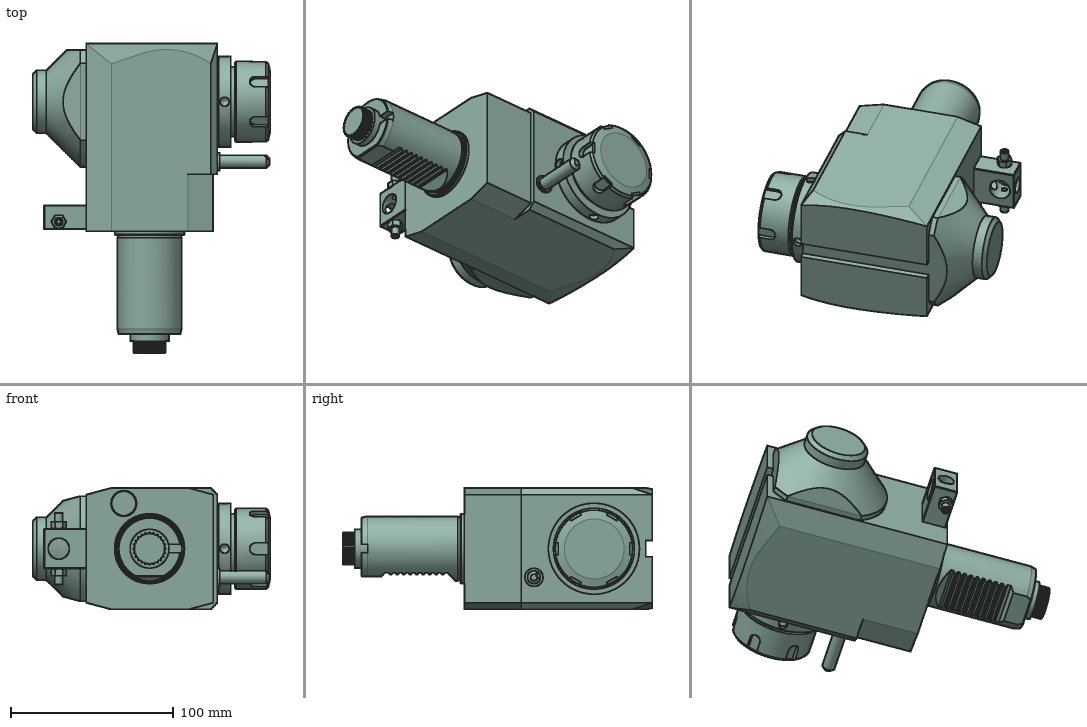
import cadquery as cq
import math


HOUSING_LEFT = -39.2
HOUSING_RIGHT = 41.9
HOUSING_LENGTH = 116.0
HALF_HEIGHT = 37.5
SIDE_HALF_HEIGHT = 33.35
CHAMFER_RISE = HALF_HEIGHT - SIDE_HALF_HEIGHT
CHAMFER_SLOPE = 15.0
CHAMFER_RUN = CHAMFER_RISE / math.tan(math.radians(CHAMFER_SLOPE))
TOP_LEFT = HOUSING_LEFT + CHAMFER_RUN
TOP_RIGHT = HOUSING_RIGHT - CHAMFER_RISE
TOP_CORNER_Y = 103.5
TOP_CROWN = (11.0, 112.4)
TOP_START_TANGENT = (1.0, 0.36)
TOP_END_TANGENT = (1.0, -0.74)
SIDE_CROWN = (12.5, 131.0)
FRONT_STEP_LENGTH = 35.2
FRONT_RIGHT = -HOUSING_LEFT
BACK_SLOT_WIDTH = 9.8
BACK_SLOT_DEPTH = 4.0
PLUG_RADIUS = 7.9
PLUG_X, PLUG_Z = -15.9, 27.9
PLUG_RECESS = 0.4
PLUG_RECESS_TAPER = 45.0

SPINDLE_Y = 80.0

COVER_RADIUS = 40.3
COVER_RIM_X = -42.6
COVER_HALF_HEIGHT = 32.5
COVER_FLAT_SLOPE = 15.0
BOSS_RADIUS = 19.5
BOSS_START_X = -63.6
BOSS_END_X = -72.1
BOSS_CHAMFER = 2.5

FLANGE_RADIUS = 28.1
FLANGE_RELIEF_RADIUS = 27.0
FLANGE_START_X = 42.8
FLANGE_END_X = 50.1
NECK_RADIUS = 21.6
NUT_RADIUS = 25.0
NUT_START_X = 52.65
NUT_CHAMFER = 0.9
NUT_SHOULDER_X = 71.7
NUT_CORNER = (73.2, 23.8)
NUT_END_X = 74.5
NUT_END_RADIUS = 18.5
NUT_SLOTS = 6
NUT_SLOT_WIDTH = 7.2
NUT_SLOT_DEPTH = 3.0
NUT_SLOT_START_X = 61.8
SPANNER_HOLES = 4
SPANNER_HOLE_X = 46.3
SPANNER_HOLE_RADIUS = 2.8
SPANNER_HOLE_DEPTH = 3.0
SPANNER_HOLE_TIP_SLOPE = 30.0

PIN_Y, PIN_Z = 43.0, -17.7
PIN_RADIUS = 4.0
PIN_END_X = 74.0
PIN_CHAMFER = 2.0
PIN_SEAT_RADIUS = 5.6
PIN_SEAT_END_X = 43.2
NOZZLE_RADIUS = 1.7
NOZZLE_DEPTH = 3.0

COLLAR_RADIUS = 21.6
COLLAR_LENGTH = 2.4
COLLAR_CHAMFER = 0.6
GROOVE_RADIUS = 19.6
GROOVE_END = 4.0
SHANK_RADIUS = 20.0
SHANK_TAPER_START = 59.9
SHANK_LENGTH = 63.5
SHANK_END_RADIUS = 19.3
SHANK_EDGE = 0.4
SHAFT_RADIUS = 12.0
SHAFT_END = 67.7
SPLINE_RADIUS = 10.0
SPLINE_ROOT_RADIUS = 9.2
SPLINE_TEETH = 24
SPLINE_TIP_SHARE = 0.24
SPLINE_BASE_SHARE = 0.60
SPLINE_END = 75.0
SPLINE_CHAMFER = 0.5
DRIVE_SLOT_WIDTH = 5.3
DRIVE_SLOT_DEPTH = 4.0

RACK_FIRST_TIP = 13.3
RACK_PITCH = 4.0
RACK_TIPS = 9
RACK_TIP_Z = -16.1
RACK_ROOT_Z = -14.9
RACK_TIP_WIDTH = 0.5
RACK_RAMP_START = 5.3
RACK_END = 51.3
END_FLAT_Z = -17.2
END_FLAT_CHAMFER = 0.6

BLOCK_LEFT = -65.2
BLOCK_FRONT, BLOCK_BACK = 1.2, 16.1
BLOCK_HALF_HEIGHT = 12.3
BLOCK_CHAMFER = 0.4
PORT_X = -56.0
PORT_RADIUS = 6.5
INLET_Y = 8.5
INLET_RADIUS = 4.9
INLET_END_X = -46.0
SOCKET_WIDTH = 2.5
SOCKET_DEPTH = 2.0
STUD_Y = 6.0
STUD_RADIUS = 2.5
STUD_TOP = 22.3
STUD_CHAMFER = 0.4
STUD_BORE_RADIUS = 1.7
STUD_BORE_HALF_LENGTH = 9.0
LOCKNUT_TOP = 16.6
LOCKNUT_WIDTH = 8.0

HEXAGON_HALF_ANGLE = math.radians(30)


def revolve_about_x(profile, y, z=0.0):
    """Revolve (x, radius) points about an X-parallel axis through (y, z)."""
    outline = cq.Workplane("XY").polyline(profile).close()
    return outline.revolve(360, (0, 0, 0), (1, 0, 0)).translate((0, y, z))


def revolve_about_y(profile):
    """Revolve (radius, depth) points about the Y axis; depth is measured toward -Y."""
    points = [(radius, -depth) for radius, depth in profile]
    return cq.Workplane("XY").polyline(points).close().revolve(360, (0, 0, 0), (0, 1, 0))


def box(x_range, y_range, z_range):
    """Box between pairs of limits on the three axes."""
    limits = (x_range, y_range, z_range)
    size = [high - low for low, high in limits]
    return cq.Workplane("XY").box(*size, centered=False).translate([low for low, high in limits])


def hexagon(across_flats):
    """Hexagon outline in the XY plane with two corners on the X axis."""
    return cq.Workplane("XY").polygon(6, across_flats / math.cos(HEXAGON_HALF_ANGLE))


def housing_cap():
    """Upper part of the housing: chamfered sides and a curved, tapering back."""
    side = (
        cq.Workplane("XY", origin=(0, 0, SIDE_HALF_HEIGHT))
        .moveTo(HOUSING_LEFT, 0)
        .lineTo(HOUSING_LEFT, HOUSING_LENGTH)
        .threePointArc(SIDE_CROWN, (HOUSING_RIGHT, HOUSING_LENGTH))
        .lineTo(HOUSING_RIGHT, 0)
        .close()
    )
    top = (
        cq.Workplane("XY", origin=(0, 0, HALF_HEIGHT))
        .moveTo(TOP_LEFT, 0)
        .lineTo(TOP_LEFT, TOP_CORNER_Y)
        .spline(
            [TOP_CROWN, (TOP_RIGHT, TOP_CORNER_Y)],
            tangents=[TOP_START_TANGENT, TOP_END_TANGENT],
            includeCurrent=True,
        )
        .lineTo(TOP_RIGHT, 0)
        .close()
    )
    cap = cq.Workplane(cq.Solid.makeLoft([side.val(), top.val()], True))
    within = box((HOUSING_LEFT, HOUSING_RIGHT), (0, HOUSING_LENGTH), (0, HALF_HEIGHT))
    return cap.intersect(within)


def front_step_cut():
    """Material removed so the front right edges mirror the chamfers on the left."""
    slope_start = FRONT_RIGHT - CHAMFER_RUN
    profile = [
        (slope_start, HALF_HEIGHT),
        (FRONT_RIGHT, SIDE_HALF_HEIGHT),
        (FRONT_RIGHT, -SIDE_HALF_HEIGHT),
        (slope_start, -HALF_HEIGHT),
        (HOUSING_RIGHT, -HALF_HEIGHT),
        (HOUSING_RIGHT, HALF_HEIGHT),
    ]
    return cq.Workplane("XZ").polyline(profile).close().extrude(-FRONT_STEP_LENGTH)


def housing():
    """Housing block with its front step, back slot and shallow plug recess."""
    body = box(
        (HOUSING_LEFT, HOUSING_RIGHT), (0, HOUSING_LENGTH), (-SIDE_HALF_HEIGHT, SIDE_HALF_HEIGHT)
    )
    cap = housing_cap()
    body = body.union(cap).union(cap.mirror("XY"))
    back_slot = box(
        (HOUSING_LEFT, HOUSING_RIGHT),
        (HOUSING_LENGTH - BACK_SLOT_DEPTH, HOUSING_LENGTH),
        (-BACK_SLOT_WIDTH / 2, BACK_SLOT_WIDTH / 2),
    )
    plug_recess = (
        cq.Workplane("XZ")
        .center(PLUG_X, PLUG_Z)
        .circle(PLUG_RADIUS)
        .extrude(-PLUG_RECESS, taper=PLUG_RECESS_TAPER)
    )
    return body.cut(front_step_cut()).cut(back_slot).cut(plug_recess)


def rear_cover():
    """Conical cover with a flat back and sloping flats above and below."""
    cover = revolve_about_x(
        [
            (HOUSING_LEFT, 0),
            (HOUSING_LEFT, COVER_RADIUS),
            (COVER_RIM_X, COVER_RADIUS),
            (BOSS_START_X, BOSS_RADIUS),
            (BOSS_END_X + BOSS_CHAMFER, BOSS_RADIUS),
            (BOSS_END_X, BOSS_RADIUS - BOSS_CHAMFER),
            (BOSS_END_X, 0),
        ],
        SPINDLE_Y,
    )
    slope_drop = (COVER_RIM_X - BOSS_END_X) * math.tan(math.radians(COVER_FLAT_SLOPE))
    end_half_height = COVER_HALF_HEIGHT - slope_drop
    envelope = (
        cq.Workplane("XZ", origin=(0, HOUSING_LENGTH - BACK_SLOT_DEPTH, 0))
        .moveTo(HOUSING_LEFT, COVER_HALF_HEIGHT)
        .lineTo(COVER_RIM_X, COVER_HALF_HEIGHT)
        .lineTo(BOSS_END_X, end_half_height)
        .lineTo(BOSS_END_X, -end_half_height)
        .lineTo(COVER_RIM_X, -COVER_HALF_HEIGHT)
        .lineTo(HOUSING_LEFT, -COVER_HALF_HEIGHT)
        .close()
        .extrude(HOUSING_LENGTH)
    )
    return cover.intersect(envelope)


def about_spindle(shape, index, count):
    """Turn a shape to one of several equal divisions around the spindle axis."""
    return shape.rotate((0, SPINDLE_Y, 0), (1, SPINDLE_Y, 0), index * 360 / count)


def spanner_hole():
    """Radial hole with a conical bottom, in the front of the collet flange."""
    tip = SPANNER_HOLE_RADIUS * math.tan(math.radians(SPANNER_HOLE_TIP_SLOPE))
    profile = [
        (0, 0),
        (SPANNER_HOLE_RADIUS, 0),
        (SPANNER_HOLE_RADIUS, SPANNER_HOLE_DEPTH),
        (0, SPANNER_HOLE_DEPTH + tip),
    ]
    hole = cq.Workplane("XY").polyline(profile).close().revolve(360, (0, 0, 0), (0, 1, 0))
    return hole.translate((SPANNER_HOLE_X, SPINDLE_Y - FLANGE_RADIUS, 0))


def nut_slot():
    """Round-ended spanner slot, open at the free end of the nut, on its front side."""
    centre_x = NUT_SLOT_START_X + NUT_SLOT_WIDTH / 2
    floor_y = SPINDLE_Y - NUT_RADIUS + NUT_SLOT_DEPTH
    plane = cq.Workplane("XZ", origin=(0, floor_y, 0))
    round_end = plane.center(centre_x, 0).circle(NUT_SLOT_WIDTH / 2).extrude(NUT_RADIUS)
    straight = box(
        (centre_x, NUT_CORNER[0]),
        (floor_y - NUT_RADIUS, floor_y),
        (-NUT_SLOT_WIDTH / 2, NUT_SLOT_WIDTH / 2),
    )
    return round_end.union(straight)


def collet_nut():
    """Flange, neck and slotted clamping nut."""
    nut = revolve_about_x(
        [
            (HOUSING_RIGHT, 0),
            (HOUSING_RIGHT, FLANGE_RELIEF_RADIUS),
            (FLANGE_START_X, FLANGE_RELIEF_RADIUS),
            (FLANGE_START_X, FLANGE_RADIUS),
            (FLANGE_END_X, FLANGE_RADIUS),
            (FLANGE_END_X, NECK_RADIUS),
            (NUT_START_X, NECK_RADIUS),
            (NUT_START_X, NUT_RADIUS - NUT_CHAMFER),
            (NUT_START_X + NUT_CHAMFER, NUT_RADIUS),
            (NUT_SHOULDER_X, NUT_RADIUS),
            NUT_CORNER,
            (NUT_END_X, NUT_END_RADIUS),
            (NUT_END_X, 0),
        ],
        SPINDLE_Y,
    )
    for index in range(NUT_SLOTS):
        nut = nut.cut(about_spindle(nut_slot(), index, NUT_SLOTS))
    for index in range(SPANNER_HOLES):
        nut = nut.cut(about_spindle(spanner_hole(), index, SPANNER_HOLES))
    return nut


def guide_pin():
    """Pin with a coolant nozzle drilled through its chamfered tip, aimed toward the nut."""
    profile = [
        (HOUSING_RIGHT, 0),
        (HOUSING_RIGHT, PIN_SEAT_RADIUS),
        (PIN_SEAT_END_X, PIN_SEAT_RADIUS),
        (PIN_SEAT_END_X, PIN_RADIUS),
        (PIN_END_X - PIN_CHAMFER, PIN_RADIUS),
        (PIN_END_X, PIN_RADIUS - PIN_CHAMFER),
        (PIN_END_X, 0),
    ]
    pin = revolve_about_x(profile, PIN_Y, PIN_Z)
    toward_spindle = cq.Vector(0, SPINDLE_Y - PIN_Y, -PIN_Z).normalized()
    pin_axis = cq.Vector(1, 0, 0)
    middle_of_chamfer = (
        cq.Vector(PIN_END_X - PIN_CHAMFER / 2, PIN_Y, PIN_Z)
        + toward_spindle * (PIN_RADIUS - PIN_CHAMFER / 2)
    )
    outward = (pin_axis + toward_spindle).normalized()
    nozzle = cq.Solid.makeCylinder(
        NOZZLE_RADIUS,
        NOZZLE_DEPTH + PIN_CHAMFER,
        middle_of_chamfer - outward * NOZZLE_DEPTH,
        outward,
    )
    return pin.cut(cq.Workplane(nozzle))


def rack_cut():
    """Material removed under the shank, leaving trapezoidal rack teeth."""
    tooth_height = RACK_ROOT_Z - RACK_TIP_Z
    tip_half = RACK_TIP_WIDTH / 2
    base_half = tip_half + tooth_height
    below = -COLLAR_RADIUS
    ramp_start = RACK_RAMP_START + SHANK_RADIUS + below
    ramp_end = RACK_RAMP_START + SHANK_RADIUS + RACK_ROOT_Z
    points = [
        (-ramp_start, below),
        (-ramp_end, RACK_ROOT_Z),
    ]
    for index in range(RACK_TIPS):
        tip = RACK_FIRST_TIP + index * RACK_PITCH
        points += [
            (-(tip - base_half), RACK_ROOT_Z),
            (-(tip - tip_half), RACK_TIP_Z),
            (-(tip + tip_half), RACK_TIP_Z),
            (-(tip + base_half), RACK_ROOT_Z),
        ]
    points += [
        (-(RACK_END - (RACK_ROOT_Z - END_FLAT_Z)), RACK_ROOT_Z),
        (-RACK_END, END_FLAT_Z),
        (-(SHANK_LENGTH - END_FLAT_CHAMFER), END_FLAT_Z),
        (-SHANK_LENGTH, END_FLAT_Z + END_FLAT_CHAMFER),
        (-SHANK_LENGTH, below),
    ]
    return cq.Workplane("YZ").polyline(points).close().extrude(SHANK_RADIUS, both=True)


def spline():
    """Toothed drive end with a chamfered tip."""
    step = 2 * math.pi / SPLINE_TEETH
    tooth_profile = [
        (-SPLINE_BASE_SHARE / 2, SPLINE_ROOT_RADIUS),
        (-SPLINE_TIP_SHARE / 2, SPLINE_RADIUS),
        (SPLINE_TIP_SHARE / 2, SPLINE_RADIUS),
        (SPLINE_BASE_SHARE / 2, SPLINE_ROOT_RADIUS),
    ]
    outline = [
        (radius * math.cos((tooth + part) * step), radius * math.sin((tooth + part) * step))
        for tooth in range(SPLINE_TEETH)
        for part, radius in tooth_profile
    ]
    teeth = (
        cq.Workplane("XZ", origin=(0, -SHAFT_END, 0))
        .polyline(outline)
        .close()
        .extrude(SPLINE_END - SHAFT_END)
    )
    envelope = revolve_about_y(
        [
            (0, SHAFT_END),
            (SPLINE_RADIUS, SHAFT_END),
            (SPLINE_RADIUS, SPLINE_END - SPLINE_CHAMFER),
            (SPLINE_RADIUS - SPLINE_CHAMFER, SPLINE_END),
            (0, SPLINE_END),
        ]
    )
    return teeth.intersect(envelope)


def shank():
    """Shank with its collar, clamping rack, drive slot and splined shaft end."""
    collar = cq.Workplane("XZ").circle(COLLAR_RADIUS).extrude(COLLAR_LENGTH)
    collar = collar.faces("<Y").edges().chamfer(COLLAR_CHAMFER)
    barrel = revolve_about_y(
        [
            (0, 0),
            (GROOVE_RADIUS, 0),
            (GROOVE_RADIUS, GROOVE_END),
            (SHANK_RADIUS, GROOVE_END),
            (SHANK_RADIUS, SHANK_TAPER_START),
            (SHANK_END_RADIUS, SHANK_LENGTH - SHANK_EDGE),
            (SHANK_END_RADIUS - SHANK_EDGE, SHANK_LENGTH),
            (0, SHANK_LENGTH),
        ]
    )
    drive_slot = box(
        (0, SHANK_RADIUS),
        (-SHANK_LENGTH, DRIVE_SLOT_DEPTH - SHANK_LENGTH),
        (-DRIVE_SLOT_WIDTH / 2, DRIVE_SLOT_WIDTH / 2),
    )
    shaft_start = SHANK_LENGTH - DRIVE_SLOT_DEPTH
    shaft = revolve_about_y(
        [(0, shaft_start), (SHAFT_RADIUS, shaft_start), (SHAFT_RADIUS, SHAFT_END), (0, SHAFT_END)]
    )
    barrel = barrel.cut(rack_cut()).cut(drive_slot)
    return barrel.union(collar).union(shaft).union(spline())


def stud_and_locknut():
    """Stud with a hexagon socket and its hexagonal locknut, above the coolant block."""
    height = LOCKNUT_TOP - BLOCK_HALF_HEIGHT
    locknut = hexagon(LOCKNUT_WIDTH).extrude(height)
    corner_radius = LOCKNUT_WIDTH / 2 / math.cos(HEXAGON_HALF_ANGLE)
    corner_trim = corner_radius - LOCKNUT_WIDTH / 2
    trimmed = cq.Workplane("XY").circle(corner_radius).extrude(height)
    trimmed = trimmed.faces("<Z").edges().chamfer(corner_trim)
    stud = cq.Workplane("XY").circle(STUD_RADIUS).extrude(STUD_TOP - BLOCK_HALF_HEIGHT)
    stud = stud.faces(">Z").edges().chamfer(STUD_CHAMFER)
    socket_floor = STUD_TOP - BLOCK_HALF_HEIGHT - SOCKET_DEPTH
    socket = hexagon(SOCKET_WIDTH).extrude(SOCKET_DEPTH).translate((0, 0, socket_floor))
    assembly = locknut.intersect(trimmed).union(stud).cut(socket)
    return assembly.translate((PORT_X, STUD_Y, BLOCK_HALF_HEIGHT))


def coolant_block():
    """Block with a through port along Y and a plugged inlet along X."""
    block = box(
        (BLOCK_LEFT, HOUSING_LEFT),
        (BLOCK_FRONT, BLOCK_BACK),
        (-BLOCK_HALF_HEIGHT, BLOCK_HALF_HEIGHT),
    )
    block = block.edges("not >X").chamfer(BLOCK_CHAMFER)
    port = cq.Workplane("XZ").center(PORT_X, 0).circle(PORT_RADIUS).extrude(-BLOCK_BACK)
    inlet = (
        cq.Workplane("YZ", origin=(BLOCK_LEFT, INLET_Y, 0))
        .circle(INLET_RADIUS)
        .extrude(INLET_END_X - BLOCK_LEFT)
    )
    socket = (
        hexagon(SOCKET_WIDTH)
        .extrude(SOCKET_DEPTH)
        .rotate((0, 0, 0), (0, 1, 0), 90)
        .translate((INLET_END_X, INLET_Y, 0))
    )
    stud_bore = (
        cq.Workplane("XY")
        .center(PORT_X, STUD_Y)
        .circle(STUD_BORE_RADIUS)
        .extrude(STUD_BORE_HALF_LENGTH, both=True)
    )
    block = block.cut(port).cut(inlet).cut(socket).cut(stud_bore)
    stud = stud_and_locknut()
    return block.union(stud).union(stud.mirror("XY"))


result = (
    housing()
    .union(rear_cover())
    .union(collet_nut())
    .union(guide_pin())
    .union(shank())
    .union(coolant_block())
)